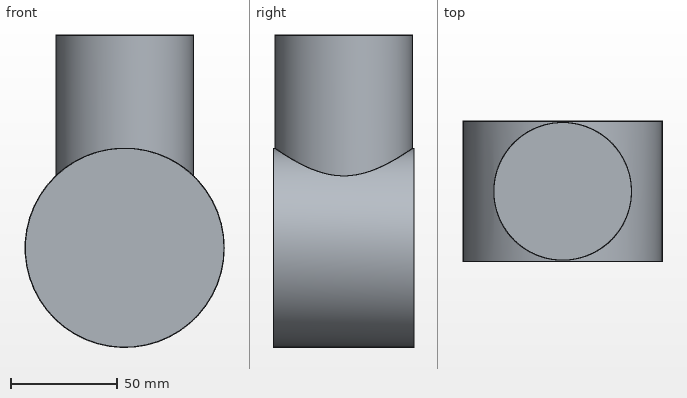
import cadquery as cq

overall_height = 146.8
drum_diameter = 93.7
drum_length = 66.0
neck_diameter = 64.7

drum_radius = drum_diameter / 2
neck_height = overall_height - drum_radius

drum = cq.Workplane("XZ").circle(drum_radius).extrude(drum_length / 2, both=True)

neck = cq.Workplane("XY").circle(neck_diameter / 2).extrude(neck_height)

result = drum.union(neck)